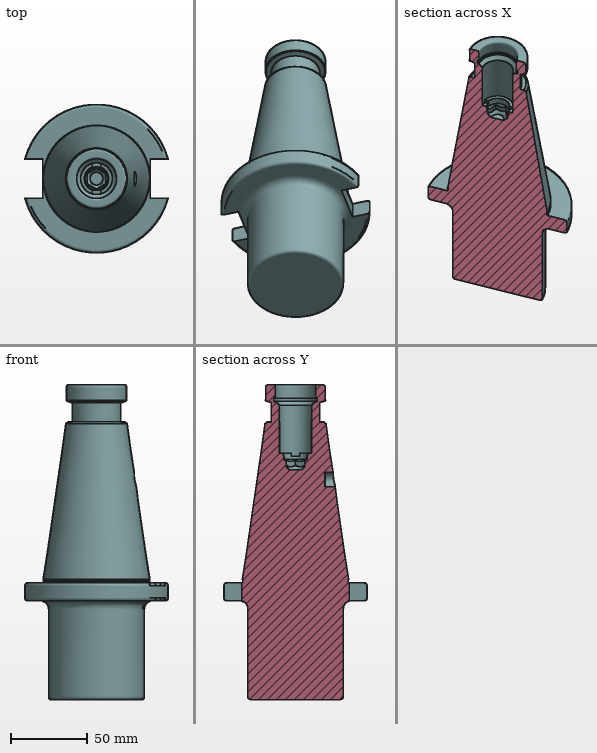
import cadquery as cq
import math


gauge_radius = 69.85 / 2
taper_ratio = 7 / 24 / 2
taper_top_z = 102.3
taper_bottom_z = -1.0
taper_edge_chamfer = 1.3
undercut_depth = 0.35
undercut_slope_height = 0.8

tail_height = 24.5
neck_radius = 16.0
head_radius = 39.6 / 2
head_height = 10.95
head_top_fillet = 2.0
head_bottom_chamfer = 0.5
head_underside_angle = 17.0

flange_top_z = -3.2
flange_radius = 97.5 / 2
flange_thickness = 12.0
flange_fillet = 2.0
key_slot_width = 25.7
key_slot_floor = 35.3

body_radius = 63.0 / 2
body_bottom_z = -80.0
body_top_fillet = 5.0
body_bottom_fillet = 2.0

pilot_radius = 13.0
pilot_depth = 8.9
pilot_mouth_fillet = 1.5
groove_radius = 14.0
groove_width = 2.2
thread_radius = 10.4
thread_depth = 45.0

socket_mouth_radius = 8.0
socket_throat_radius = 7.4
socket_throat_depth = 4.0
socket_across_flats = 12.0
socket_depth = 8.0
socket_floor_radius = 4.2
wrench_slot_width = 5.6
wrench_slot_depth = 2.0

side_hole_radius = 4.6
side_hole_z = 64.6
side_hole_depth = 6.0

top_z = taper_top_z + tail_height
flange_bottom_z = flange_top_z - flange_thickness
thread_floor_z = top_z - thread_depth


def revolve_profile(points):
    """Solid of revolution from (radius, z) points."""
    return cq.Workplane("YZ").polyline(points).close().revolve(360, (0, 0, 0), (0, 1, 0))


def cylinder(radius, low_z, high_z):
    return revolve_profile([(0, low_z), (radius, low_z), (radius, high_z), (0, high_z)])


def taper_radius(z):
    return gauge_radius - taper_ratio * z


def make_taper():
    bottom_radius = taper_radius(taper_bottom_z)
    undercut_radius = bottom_radius - undercut_depth
    taper = revolve_profile([
        (0, flange_top_z),
        (bottom_radius, flange_top_z),
        (undercut_radius, flange_top_z + undercut_slope_height),
        (undercut_radius, taper_bottom_z - undercut_slope_height),
        (bottom_radius, taper_bottom_z),
        (taper_radius(taper_top_z), taper_top_z),
        (0, taper_top_z),
    ])
    return taper.faces(">Z").edges().chamfer(taper_edge_chamfer)


def make_tail():
    underside_z = top_z - head_height
    rim_radius = head_radius - head_bottom_chamfer
    underside_drop = (rim_radius - neck_radius) * math.tan(math.radians(head_underside_angle))
    head = cylinder(head_radius, underside_z, top_z)
    head = head.faces(">Z").edges().fillet(head_top_fillet)
    head = head.faces("<Z").edges().chamfer(head_bottom_chamfer)
    neck = revolve_profile([
        (0, taper_top_z),
        (neck_radius, taper_top_z),
        (neck_radius, underside_z - underside_drop),
        (rim_radius, underside_z),
        (0, underside_z),
    ])
    return head.union(neck)


def make_flange():
    flange = cylinder(flange_radius, flange_bottom_z, flange_top_z)
    return flange.faces(">Z or <Z").edges().fillet(flange_fillet)


def make_body():
    """Body whose top flares out to the flange in a concave fillet."""
    flare_radius = body_radius + body_top_fillet
    flare_bottom_z = flange_bottom_z - body_top_fillet
    arc_offset = body_top_fillet * math.sqrt(0.5)
    body = (
        cq.Workplane("YZ")
        .moveTo(0, body_bottom_z)
        .lineTo(body_radius, body_bottom_z)
        .lineTo(body_radius, flare_bottom_z)
        .threePointArc(
            (flare_radius - arc_offset, flare_bottom_z + arc_offset),
            (flare_radius, flange_bottom_z),
        )
        .lineTo(0, flange_bottom_z)
        .close()
        .revolve(360, (0, 0, 0), (0, 1, 0))
    )
    return body.faces("<Z").edges().fillet(body_bottom_fillet)


def make_key_slot(side):
    """Cutter for the slot on the +X (side = 1) or -X (side = -1) edge, through flange and flare."""
    slot_length = flange_radius - key_slot_floor
    return (
        cq.Workplane("XY")
        .workplane(offset=flange_bottom_z - body_top_fillet)
        .center(side * (key_slot_floor + slot_length / 2), 0)
        .rect(slot_length, key_slot_width)
        .extrude(flange_thickness + body_top_fillet)
    )


def make_bore():
    """Cutter for the pilot with rounded mouth, its groove and the thread bore below."""
    groove_top_z = top_z - pilot_depth
    groove_floor_z = groove_top_z - groove_width
    cone_height = pilot_radius - thread_radius
    mouth_radius = pilot_radius + pilot_mouth_fillet
    mouth_bottom_z = top_z - pilot_mouth_fillet
    arc_offset = pilot_mouth_fillet * math.sqrt(0.5)
    return (
        cq.Workplane("YZ")
        .moveTo(0, thread_floor_z)
        .lineTo(thread_radius, thread_floor_z)
        .lineTo(thread_radius, groove_floor_z - cone_height)
        .lineTo(pilot_radius, groove_floor_z)
        .lineTo(groove_radius, groove_floor_z)
        .lineTo(groove_radius, groove_top_z)
        .lineTo(pilot_radius, groove_top_z)
        .lineTo(pilot_radius, mouth_bottom_z)
        .threePointArc(
            (mouth_radius - arc_offset, mouth_bottom_z + arc_offset),
            (mouth_radius, top_z),
        )
        .lineTo(0, top_z)
        .close()
        .revolve(360, (0, 0, 0), (0, 1, 0))
    )


def make_socket():
    """Cutter for the hexagon socket with a conical mouth and a conical bottom."""
    flat_radius = socket_across_flats / 2
    corner_radius = socket_across_flats / math.sqrt(3)
    throat_z = thread_floor_z - socket_throat_depth
    chamfer_bottom_z = throat_z - (socket_throat_radius - flat_radius)
    hexagon_bottom_z = thread_floor_z - socket_depth
    cone_bottom_z = hexagon_bottom_z - (corner_radius - socket_floor_radius)
    mouth = revolve_profile([
        (0, thread_floor_z),
        (socket_mouth_radius, thread_floor_z),
        (socket_throat_radius, throat_z),
        (flat_radius, chamfer_bottom_z),
        (0, chamfer_bottom_z),
    ])
    hexagon = (
        cq.Workplane("XY")
        .workplane(offset=cone_bottom_z)
        .polygon(6, 2 * corner_radius)
        .extrude(throat_z - cone_bottom_z)
        .rotate((0, 0, 0), (0, 0, 1), 30)
    )
    core = revolve_profile([
        (0, cone_bottom_z),
        (socket_floor_radius, cone_bottom_z),
        (corner_radius, hexagon_bottom_z),
        (corner_radius, throat_z),
        (0, throat_z),
    ])
    return mouth.union(hexagon.intersect(core))


def make_wrench_slots():
    """Cutter for the two slots, on +Y and -Y, across the ring around the socket."""
    slot_bottom_z = thread_floor_z - wrench_slot_depth
    bar = (
        cq.Workplane("XY")
        .workplane(offset=slot_bottom_z)
        .rect(wrench_slot_width, 2 * thread_radius)
        .extrude(wrench_slot_depth)
    )
    return bar.intersect(cylinder(thread_radius, slot_bottom_z, thread_floor_z))


def make_side_hole():
    floor_x = taper_radius(side_hole_z) - side_hole_depth
    return (
        cq.Workplane("YZ")
        .workplane(offset=floor_x)
        .center(0, side_hole_z)
        .circle(side_hole_radius)
        .extrude(gauge_radius - floor_x)
    )


result = make_taper().union(make_tail()).union(make_flange()).union(make_body())
for side in (-1, 1):
    result = result.cut(make_key_slot(side))
result = result.cut(make_bore())
result = result.cut(make_socket())
result = result.cut(make_wrench_slots())
result = result.cut(make_side_hole())